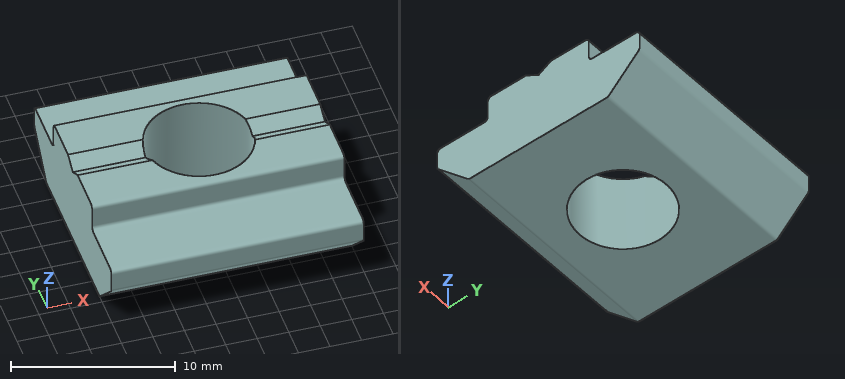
import cadquery as cq
import math

length = 16.0
width = 16.0
height = 6.0
rib_width = 8.0
rib_height = 1.9
base_chamfer = 2.5
edge_radius = 0.3
groove_width = 2.0
groove_flank_angle = 30.0
bore_diameter = 6.8

shoulder_z = height - rib_height
groove_depth = groove_width / 2 * math.tan(math.radians(groove_flank_angle))


def make_body():
    """T-shaped bar with chamfered lower sides and rounded lengthwise edges."""
    half_profile = [
        (width / 2 - base_chamfer, 0),
        (width / 2, base_chamfer),
        (width / 2, shoulder_z),
        (rib_width / 2, shoulder_z),
        (rib_width / 2, height),
    ]
    mirrored_half = [(-y, z) for y, z in reversed(half_profile)]
    bar = (
        cq.Workplane("YZ")
        .polyline(half_profile + mirrored_half)
        .close()
        .extrude(length / 2, both=True)
    )
    return bar.edges("|X").fillet(edge_radius)


def make_groove():
    """V-shaped cutter running lengthwise along the top of the rib."""
    return (
        cq.Workplane("YZ")
        .moveTo(-groove_width / 2, height)
        .lineTo(0, height - groove_depth)
        .lineTo(groove_width / 2, height)
        .close()
        .extrude(length / 2, both=True)
    )


def make_bore():
    """Vertical cylinder through the full height."""
    return cq.Workplane("XY").circle(bore_diameter / 2).extrude(height)


result = make_body().cut(make_groove()).cut(make_bore())